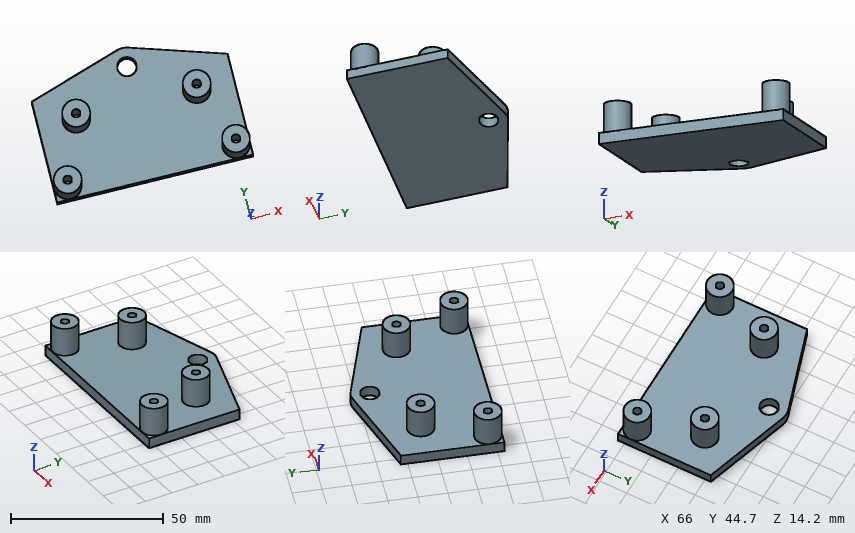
import cadquery as cq
import math

plate_width = 66.04
plate_depth = 44.7
plate_thickness = 3.81
side_length = 34.54

peak_radius = 6.35
peak_hole_diameter = 6.35
peak_center_y = plate_depth - peak_radius

total_height = 14.22
standoff_height = total_height - plate_thickness
standoff_diameter = 9.144
screw_hole_diameter = 2.794
front_pair_spacing = 56.72
front_pair_y = 4.65
rear_pair_spacing = 40.64
rear_pair_y = 25.45

half_width = plate_width / 2


def make_plate():
    corner_to_center_x = half_width
    corner_to_center_y = peak_center_y - side_length
    corner_distance = math.hypot(corner_to_center_x, corner_to_center_y)
    center_angle = math.atan2(corner_to_center_y, corner_to_center_x)
    slope_angle = center_angle + math.asin(peak_radius / corner_distance)
    tangent_x = peak_radius * math.sin(slope_angle)
    tangent_y = peak_center_y + peak_radius * math.cos(slope_angle)

    return (
        cq.Workplane("XY")
        .moveTo(-half_width, 0)
        .lineTo(half_width, 0)
        .lineTo(half_width, side_length)
        .lineTo(tangent_x, tangent_y)
        .threePointArc((0, plate_depth), (-tangent_x, tangent_y))
        .lineTo(-half_width, side_length)
        .close()
        .extrude(plate_thickness)
    )


def standoff_positions():
    pairs = [(front_pair_spacing, front_pair_y), (rear_pair_spacing, rear_pair_y)]
    return [(side * spacing / 2, y) for spacing, y in pairs for side in (-1, 1)]


def cylinders(points, diameter, base_z, height):
    return (
        cq.Workplane("XY")
        .workplane(offset=base_z)
        .pushPoints(points)
        .circle(diameter / 2)
        .extrude(height)
    )


standoffs = cylinders(standoff_positions(), standoff_diameter, plate_thickness, standoff_height)
screw_holes = cylinders(standoff_positions(), screw_hole_diameter, plate_thickness, standoff_height)
peak_hole = cylinders([(0, peak_center_y)], peak_hole_diameter, 0, plate_thickness)

result = make_plate().union(standoffs).cut(screw_holes).cut(peak_hole)